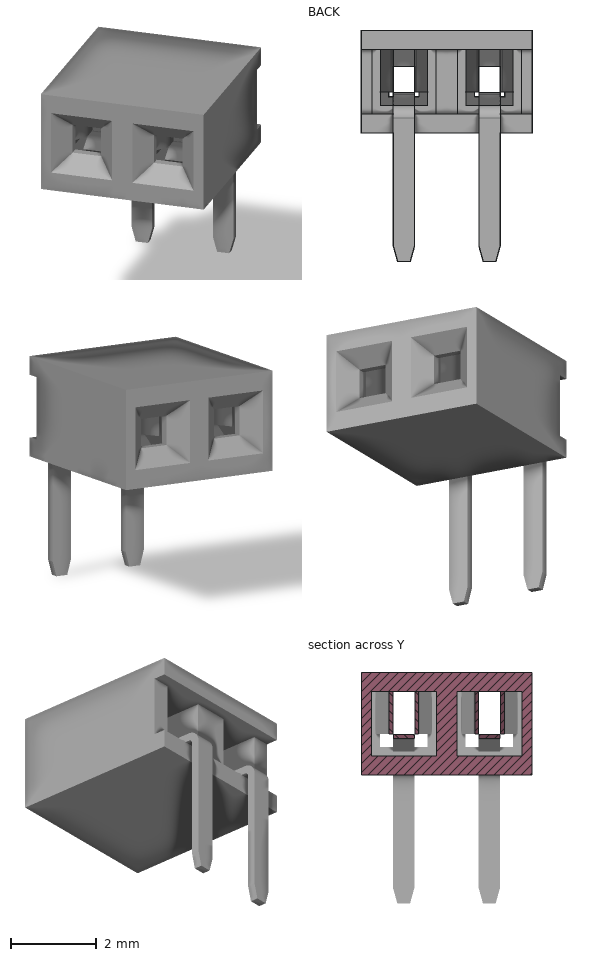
import cadquery as cq
import math


pitch = 2.0
housing_width = 4.0
housing_length = 4.3
housing_height = 2.4
cavity_size = 1.5
throat_size = 0.7
funnel_depth = (cavity_size - throat_size) / 2
throat_length = 0.2
notch_depth = 0.3
notch_face_y = housing_length - notch_depth
cavity_front_y = funnel_depth + throat_length

sheet = 0.2
tail_width = 0.5
tail_standoff = 0.4
tail_inner_radius = 0.1
total_height = 5.4
tip_length = 0.365
tip_inset = 0.1
tail_back_y = housing_length + tail_standoff
tail_bottom_z = housing_height / 2 - total_height

finger_thickness = 0.1
finger_angle = math.radians(33)
finger_tip_y = 0.89
finger_tip_offset = 0.45
crest_offset = 0.25
crest_length = 0.4
crest_inner_radius = 0.2
crest_outer_radius = crest_inner_radius + finger_thickness
side_finger_drop = 0.245
plate_offset = cavity_size / 2 - sheet

crest_front_y = finger_tip_y + (finger_tip_offset - crest_offset) / math.tan(finger_angle)
crest_rear_y = crest_front_y + crest_length
foot_y = crest_rear_y + (plate_offset - crest_offset) / math.tan(finger_angle)
channel_front_y = foot_y + sheet

socket_xs = [-pitch / 2, pitch / 2]


def box_between(x0, x1, y0, y1, z0, z1):
    """Box spanning the given limits on each axis."""
    return cq.Workplane("XY").box(x1 - x0, y1 - y0, z1 - z0, centered=False).translate((x0, y0, z0))


def square_bar(size, y0, y1):
    """Square bar along the socket axis."""
    half = size / 2
    return box_between(-half, half, y0, y1, -half, half)


def make_socket_opening():
    """Funnel, narrow throat and contact cavity, open at the notch."""
    funnel = (
        cq.Workplane("XZ")
        .rect(cavity_size, cavity_size)
        .workplane(offset=-funnel_depth)
        .rect(throat_size, throat_size)
        .loft(combine=True)
    )
    throat = square_bar(throat_size, funnel_depth, cavity_front_y)
    cavity = square_bar(cavity_size, cavity_front_y, notch_face_y)
    return funnel.union(throat).union(cavity)


def make_housing():
    """Block with a full-width rear notch and one opening per contact."""
    half_width = housing_width / 2
    half_height = housing_height / 2
    half_notch = cavity_size / 2
    body = box_between(-half_width, half_width, 0, housing_length, -half_height, half_height)
    notch = box_between(-half_width, half_width, notch_face_y, housing_length, -half_notch, half_notch)
    body = body.cut(notch)
    for x in socket_xs:
        body = body.cut(make_socket_opening().translate((x, 0, 0)))
    return body


def make_finger(x0, x1):
    """Spring finger below the socket axis, bent up to its flat crest and flared at the tip."""
    outer_tip_y = finger_tip_y + finger_thickness * math.sin(finger_angle)
    outer_tip_offset = finger_tip_offset + finger_thickness * math.cos(finger_angle)
    outer_crest_offset = crest_offset + finger_thickness
    corner_shift = finger_thickness * math.tan(finger_angle / 2)
    inner_corners = [
        (crest_rear_y, -crest_offset),
        (crest_front_y, -crest_offset),
    ]
    outer_corners = [
        (crest_front_y + corner_shift, -outer_crest_offset),
        (crest_rear_y - corner_shift, -outer_crest_offset),
    ]
    outline = [
        (channel_front_y, -plate_offset),
        (foot_y, -plate_offset),
        *inner_corners,
        (finger_tip_y, -finger_tip_offset),
        (outer_tip_y, -outer_tip_offset),
        *outer_corners,
        (foot_y - corner_shift, -plate_offset - finger_thickness),
        (channel_front_y, -plate_offset - finger_thickness),
    ]
    finger = cq.Workplane("YZ").workplane(offset=x0).polyline(outline).close().extrude(x1 - x0)
    middle_x = (x0 + x1) / 2
    for corners, radius in [(inner_corners, crest_outer_radius), (outer_corners, crest_inner_radius)]:
        for y, z in corners:
            corner_edge = cq.selectors.NearestToPointSelector((middle_x, y, z))
            finger = finger.edges(corner_edge).fillet(radius)
    return finger


def make_channel():
    """U-shaped base lining the floor and side walls of the cavity."""
    half = cavity_size / 2
    outside = square_bar(cavity_size, channel_front_y, notch_face_y)
    inside = box_between(-plate_offset, plate_offset, channel_front_y, notch_face_y, -plate_offset, half)
    return outside.cut(inside)


def make_tail():
    """Strip leaving the cavity floor, bent downwards and ending in a tapered tip."""
    half = tail_width / 2
    top_z = -plate_offset
    outer_radius = tail_inner_radius + sheet
    block = box_between(-half, half, notch_face_y, tail_back_y, tail_bottom_z, top_z)
    block = block.edges(">Y and >Z").fillet(outer_radius)
    inside = box_between(-half, half, notch_face_y, tail_back_y - sheet, tail_bottom_z, top_z - sheet)
    inside = inside.edges(">Y and >Z").fillet(tail_inner_radius)
    strip = block.cut(inside)

    tip_half = half - tip_inset
    shoulder_z = tail_bottom_z + tip_length
    front_outline = [
        (-tip_half, tail_bottom_z),
        (tip_half, tail_bottom_z),
        (half, shoulder_z),
        (half, top_z),
        (-half, top_z),
        (-half, shoulder_z),
    ]
    return strip.intersect(cq.Workplane("XZ").polyline(front_outline).close().extrude(-tail_back_y))


def make_contact(x):
    """Channel with a floor finger, two side fingers and a tail, as one solid."""
    floor_finger = make_finger(-tail_width / 2, tail_width / 2)
    upright_finger = make_finger(-cavity_size / 2, side_finger_drop)
    left_finger = upright_finger.rotate((0, 0, 0), (0, 1, 0), 90)
    right_finger = left_finger.mirror("YZ")
    contact = make_channel().union(make_tail())
    for finger in [floor_finger, left_finger, right_finger]:
        contact = contact.union(finger)
    return contact.translate((x, 0, 0))


housing = make_housing()
contacts = [make_contact(x) for x in socket_xs]

result = cq.Compound.makeCompound([housing.val(), *[contact.solids().val() for contact in contacts]])